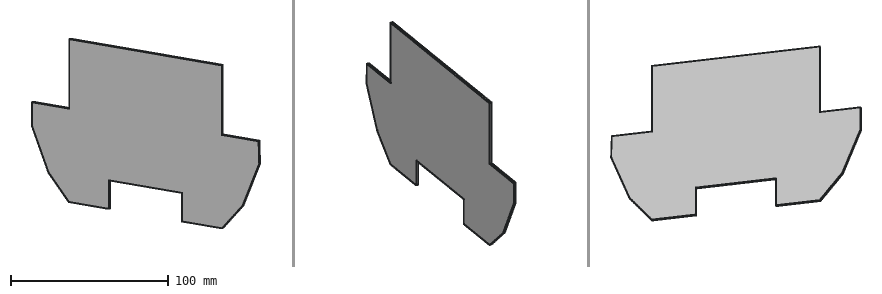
import cadquery as cq

overall_width = 164.0
overall_height = 109.5
thickness = 1.6

block_width = 110.2
shoulder_height = 62.8
right_shoulder_inset = 0.5

left_wall_foot = 47.0
right_wall_foot = 47.7
slope_break_width = 140.0
slope_break_height = 17.5
foot_width = 110.5

notch_width = 52.8
notch_height = 19.2

half_width = overall_width / 2
half_block = block_width / 2
half_break = slope_break_width / 2
half_foot = foot_width / 2
half_notch = notch_width / 2

outline = [
    (-half_foot, 0),
    (-half_notch, 0),
    (-half_notch, notch_height),
    (half_notch, notch_height),
    (half_notch, 0),
    (half_foot, 0),
    (half_break, slope_break_height),
    (half_width, right_wall_foot),
    (half_width - right_shoulder_inset, shoulder_height),
    (half_block, shoulder_height),
    (half_block, overall_height),
    (-half_block, overall_height),
    (-half_block, shoulder_height),
    (-half_width, shoulder_height),
    (-half_width, left_wall_foot),
    (-half_break, slope_break_height),
]

result = cq.Workplane("XZ").polyline(outline).close().extrude(thickness / 2, both=True)